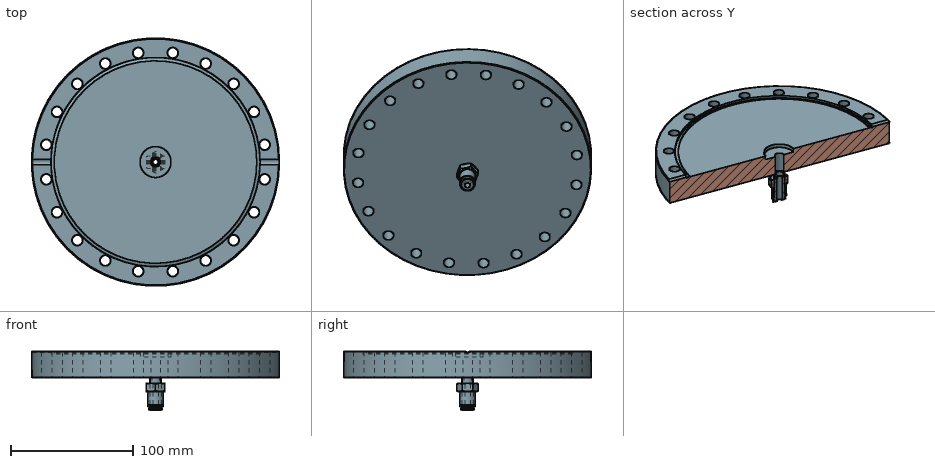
import cadquery as cq
import math

FLANGE_DIAMETER = 203.0
FLANGE_THICKNESS = 22.0
RIM_CHAMFER = 0.6

RECESS_DIAMETER = 171.3
RECESS_DEPTH = 2.0
KNIFE_DIAMETER = 165.9
KNIFE_DEPTH = 1.0
CENTRE_DEPTH = 1.5

BOLT_COUNT = 20
BOLT_HOLE_DIAMETER = 8.5
BOLT_CIRCLE_DIAMETER = 181.0

GROOVE_WIDTH = 4.3
GROOVE_DEPTH = 1.0
GROOVE_RADIUS = (GROOVE_WIDTH**2 / 4 + GROOVE_DEPTH**2) / (2 * GROOVE_DEPTH)

POCKET_DIAMETER = 25.4
POCKET_DEPTH = 3.2
PORT_DIAMETER = 7.7

NUT_TOP = -4.3
HEX_BOTTOM = -11.5
HEX_FLATS = 15.5
HEX_CORNERS = HEX_FLATS / math.cos(math.pi / 6)
HEX_TOP_FACE_DIAMETER = 14.6
HEX_BOTTOM_FACE_DIAMETER = 14.0
HEX_CHAMFER_ANGLE = 30.0
BARREL_DIAMETER = 13.0
NUT_BOTTOM = -22.0

TUBE_DIAMETER = 9.1
COUNTERBORE_DIAMETER = 6.3
COUNTERBORE_DEPTH = 4.0
BORE_DIAMETER = 4.5
COLLAR_DIAMETER = BARREL_DIAMETER
COLLAR_TOP_DIAMETER = 12.2
COLLAR_RIM = -23.0
NECK_DIAMETER = 10.5
NECK_TOP = COLLAR_RIM - (COLLAR_DIAMETER - NECK_DIAMETER) / 2
LIP_DIAMETER = 11.4
LIP_TOP = -25.4
LIP_BOTTOM = -26.0
BEAD_DIAMETER = 8.7
GLAND_BOTTOM = -26.4


def cylinder(diameter, bottom, top):
    """Cylinder on the Z axis between two heights."""
    return cq.Workplane("XY").workplane(offset=bottom).circle(diameter / 2).extrude(top - bottom)


def turned(points):
    """Solid of revolution about the Z axis from (radius, height) points."""
    return cq.Workplane("XZ").polyline(points).close().revolve(360, (0, 0, 0), (0, 1, 0))


def gasket_recess():
    """Space cut from the upper face: deepest at the outer wall, flat inside the knife edge."""
    recess_floor = FLANGE_THICKNESS - RECESS_DEPTH
    centre_floor = FLANGE_THICKNESS - CENTRE_DEPTH
    knife_tip = FLANGE_THICKNESS - KNIFE_DEPTH
    return turned([
        (0, FLANGE_THICKNESS),
        (RECESS_DIAMETER / 2, FLANGE_THICKNESS),
        (RECESS_DIAMETER / 2, recess_floor),
        (KNIFE_DIAMETER / 2, knife_tip),
        (KNIFE_DIAMETER / 2, centre_floor),
        (0, centre_floor),
    ])


def leak_grooves():
    """Round cutter along X; between the two grooves it stays inside the recess."""
    axis_height = FLANGE_THICKNESS - GROOVE_DEPTH + GROOVE_RADIUS
    return (
        cq.Workplane("YZ")
        .center(0, axis_height)
        .circle(GROOVE_RADIUS)
        .extrude(FLANGE_DIAMETER / 2, both=True)
    )


def bolt_holes():
    half_pitch = 180 / BOLT_COUNT
    return (
        cq.Workplane("XY")
        .polarArray(BOLT_CIRCLE_DIAMETER / 2, half_pitch, 360, BOLT_COUNT)
        .circle(BOLT_HOLE_DIAMETER / 2)
        .extrude(FLANGE_THICKNESS)
    )


def make_flange():
    pocket_floor = FLANGE_THICKNESS - CENTRE_DEPTH - POCKET_DEPTH
    return (
        cylinder(FLANGE_DIAMETER, 0, FLANGE_THICKNESS)
        .edges()
        .chamfer(RIM_CHAMFER)
        .cut(gasket_recess())
        .cut(leak_grooves())
        .cut(bolt_holes())
        .cut(cylinder(POCKET_DIAMETER, pocket_floor, FLANGE_THICKNESS))
        .cut(cylinder(PORT_DIAMETER, 0, FLANGE_THICKNESS))
    )


def make_hexagon():
    """Hexagon with flats facing +X and -X, its corners turned down at both ends."""
    prism = (
        cq.Workplane("XY")
        .workplane(offset=HEX_BOTTOM)
        .transformed(rotate=(0, 0, 90))
        .polygon(6, HEX_CORNERS)
        .extrude(NUT_TOP - HEX_BOTTOM)
    )
    slope = math.tan(math.radians(HEX_CHAMFER_ANGLE))
    top_chamfer = slope * (HEX_CORNERS - HEX_TOP_FACE_DIAMETER) / 2
    bottom_chamfer = slope * (HEX_CORNERS - HEX_BOTTOM_FACE_DIAMETER) / 2
    envelope = turned([
        (0, HEX_BOTTOM),
        (HEX_BOTTOM_FACE_DIAMETER / 2, HEX_BOTTOM),
        (HEX_CORNERS / 2, HEX_BOTTOM + bottom_chamfer),
        (HEX_CORNERS / 2, NUT_TOP - top_chamfer),
        (HEX_TOP_FACE_DIAMETER / 2, NUT_TOP),
        (0, NUT_TOP),
    ])
    return prism.intersect(envelope)


def make_nut():
    barrel = cylinder(BARREL_DIAMETER, NUT_BOTTOM, HEX_BOTTOM)
    return make_hexagon().union(barrel).cut(cylinder(TUBE_DIAMETER, NUT_BOTTOM, NUT_TOP))


def make_gland():
    outside = turned([
        (0, 0),
        (TUBE_DIAMETER / 2, 0),
        (TUBE_DIAMETER / 2, NUT_BOTTOM),
        (COLLAR_TOP_DIAMETER / 2, NUT_BOTTOM),
        (COLLAR_DIAMETER / 2, COLLAR_RIM),
        (NECK_DIAMETER / 2, NECK_TOP),
        (NECK_DIAMETER / 2, LIP_TOP),
        (LIP_DIAMETER / 2, LIP_TOP),
        (LIP_DIAMETER / 2, LIP_BOTTOM),
        (BEAD_DIAMETER / 2, GLAND_BOTTOM),
        (0, GLAND_BOTTOM),
    ])
    return (
        outside
        .cut(cylinder(BORE_DIAMETER, GLAND_BOTTOM, 0))
        .cut(cylinder(COUNTERBORE_DIAMETER, -COUNTERBORE_DEPTH, 0))
    )


flange = make_flange()
nut = make_nut()
gland = make_gland()

result = cq.Compound.makeCompound([flange.val(), nut.val(), gland.val()])